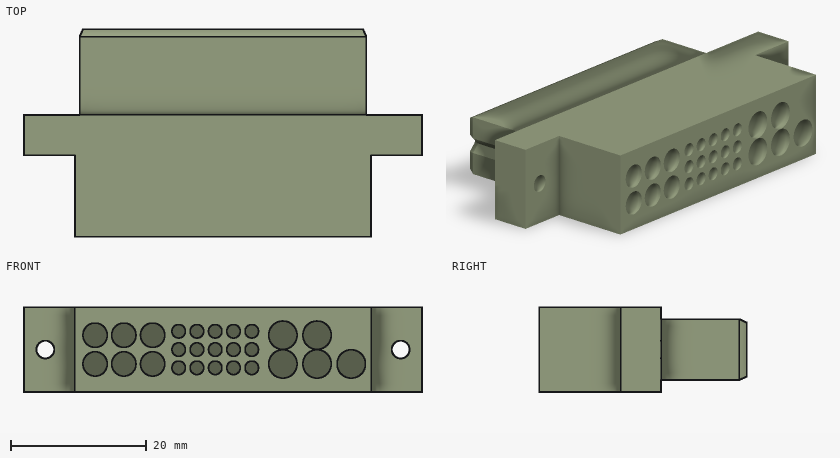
import cadquery as cq
import math

TOTAL_LENGTH = 58.86
TOTAL_DEPTH = 30.71
HEIGHT = 12.54

HOUSING_LENGTH = 43.8
HOUSING_DEPTH = 12.05
FLANGE_THICKNESS = 6.0
FLANGE_BACK = HOUSING_DEPTH + FLANGE_THICKNESS
MOUNT_HOLE_DIAMETER = 2.6
MOUNT_HOLE_SPACING = 52.5

PLUG_LENGTH = 42.4
PLUG_HEIGHT = 9.0
LEAD_IN_DEPTH = 1.1
LEAD_IN_ANGLE = 25.0
PLUG_STRAIGHT_DEPTH = TOTAL_DEPTH - FLANGE_BACK - LEAD_IN_DEPTH

GROOVE_WIDTH = 2.3
GROOVE_ANGLE = 90.0
GROOVE_DEPTH = GROOVE_WIDTH / 2 / math.tan(math.radians(GROOVE_ANGLE / 2))

CONTACT_HOLE_DEPTH = HOUSING_DEPTH
ROW_PITCH = 4.25

MEDIUM_DIAMETER = 3.6
MEDIUM_PITCH = 4.25
MEDIUM_COLUMNS = 3
MEDIUM_FIRST_X = -18.9

SMALL_DIAMETER = 2.0
SMALL_PITCH = 2.7
SMALL_COLUMNS = 5
SMALL_ROWS = 3
SMALL_FIRST_X = -6.55

LARGE_DIAMETER = 4.2
LARGE_PITCH = 5.05
LARGE_LOWER_COLUMNS = 3
LARGE_UPPER_COLUMNS = 2
LARGE_FIRST_X = 8.85


def block(length, height, y_start, depth):
    """Box centred on X and Z, running from y_start towards +Y."""
    return cq.Workplane("XY").box(length, depth, height).translate((0, y_start + depth / 2, 0))


def plane_facing_back(y):
    """XZ plane at the given Y whose extrusions run towards +Y; local x is X, local y is -Z."""
    return cq.Workplane(cq.Plane(origin=(0, y, 0), xDir=(1, 0, 0), normal=(0, 1, 0)))


def plug_outline(y):
    half_length = PLUG_LENGTH / 2
    half_height = PLUG_HEIGHT / 2
    half_groove = GROOVE_WIDTH / 2
    return plane_facing_back(y).polyline([
        (-half_length, -half_height),
        (half_length, -half_height),
        (half_length, half_height),
        (-half_length, half_height),
        (-half_length, half_groove),
        (-half_length + GROOVE_DEPTH, 0),
        (-half_length, -half_groove),
    ]).close()


def make_plug():
    straight = plug_outline(FLANGE_BACK).extrude(PLUG_STRAIGHT_DEPTH)
    lead_in_start = FLANGE_BACK + PLUG_STRAIGHT_DEPTH
    lead_in = plug_outline(lead_in_start).extrude(LEAD_IN_DEPTH, taper=LEAD_IN_ANGLE)
    return straight.union(lead_in)


def row(first_x, pitch, columns, z):
    """(X, Z) centres of one row of evenly spaced holes."""
    return [(first_x + column * pitch, z) for column in range(columns)]


def holes(centres, diameter, y_start, depth):
    """Round cutters running towards +Y from y_start at the given (X, Z) centres."""
    local_points = [(x, -z) for x, z in centres]
    return plane_facing_back(y_start).pushPoints(local_points).circle(diameter / 2).extrude(depth)


def contact_holes(centres, diameter):
    return holes(centres, diameter, 0, CONTACT_HOLE_DEPTH)


upper_row_z = ROW_PITCH / 2
lower_row_z = -upper_row_z

medium_centres = []
for row_z in (lower_row_z, upper_row_z):
    medium_centres += row(MEDIUM_FIRST_X, MEDIUM_PITCH, MEDIUM_COLUMNS, row_z)

small_centres = []
for row_index in range(SMALL_ROWS):
    small_row_z = (row_index - (SMALL_ROWS - 1) / 2) * SMALL_PITCH
    small_centres += row(SMALL_FIRST_X, SMALL_PITCH, SMALL_COLUMNS, small_row_z)

large_centres = row(LARGE_FIRST_X, LARGE_PITCH, LARGE_LOWER_COLUMNS, lower_row_z)
large_centres += row(LARGE_FIRST_X, LARGE_PITCH, LARGE_UPPER_COLUMNS, upper_row_z)

mount_centres = [(-MOUNT_HOLE_SPACING / 2, 0), (MOUNT_HOLE_SPACING / 2, 0)]

housing = block(HOUSING_LENGTH, HEIGHT, 0, HOUSING_DEPTH)
flange = block(TOTAL_LENGTH, HEIGHT, HOUSING_DEPTH, FLANGE_THICKNESS)

result = (
    housing.union(flange)
    .union(make_plug())
    .cut(contact_holes(medium_centres, MEDIUM_DIAMETER))
    .cut(contact_holes(small_centres, SMALL_DIAMETER))
    .cut(contact_holes(large_centres, LARGE_DIAMETER))
    .cut(holes(mount_centres, MOUNT_HOLE_DIAMETER, HOUSING_DEPTH, FLANGE_THICKNESS))
)